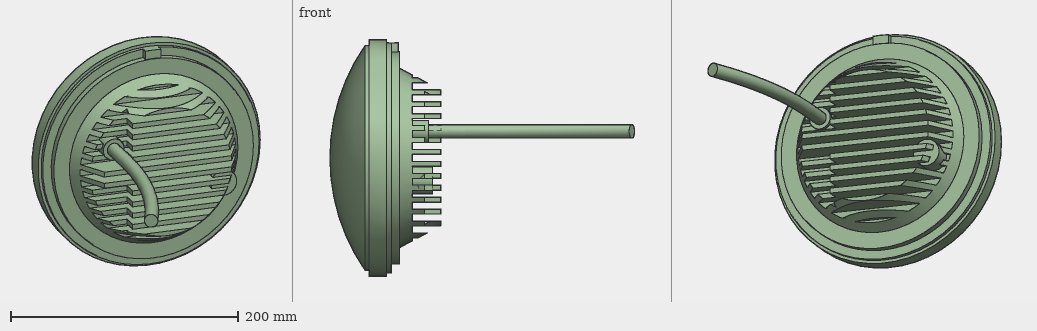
import cadquery as cq
import math


LENS_HEIGHT = 31.0
LENS_EDGE_RADIUS = 98.9
LENS_SPHERE_RADIUS = (LENS_EDGE_RADIUS**2 + LENS_HEIGHT**2) / (2 * LENS_HEIGHT)

RIM_RADIUS = 208.32 / 2
RIM_FRONT_X = 34.5
RIM_BACK_X = 50.0
COLLAR_RADIUS = 101.4
COLLAR_BACK_X = 54.2
BACK_RING_RADIUS = 93.5
BACK_RING_BACK_X = 61.3

SINK_FRONT_RADIUS = 79.0
SINK_BACK_RADIUS = 59.7
SINK_BACK_X = 97.6
FIN_ROOT_X = 72.5
FIN_COUNT = 14
FIN_PITCH = 10.5
FIN_THICKNESS = 4.5
SLOT_WIDTH = FIN_PITCH - FIN_THICKNESS
CLEARANCE = 10.0

FIN_STEP_X = 83.4
FIN_STEP_Y = -33.2

TAB_WIDTH = 14.6
TAB_BOTTOM_Z = 90.0
TAB_BACK_X = 60.4

PLUG_RADIUS = 12.0
PLUG_Y = 55.0
PLUG_Z = -19.6
PLUG_BACK_X = 90.5

CABLE_Y = -46.9
CABLE_Z = 23.3
CABLE_RADIUS = 6.0
CABLE_BEND_X = 119.0
CABLE_BEND_RADIUS = 360.0
OVERALL_LENGTH = 268.08
GLAND_RADIUS = 9.8
GLAND_BACK_X = 86.9

BURY = 2.0


def rod(start_x, end_x, y, z, radius):
    """Cylinder parallel to X."""
    return cq.Workplane("YZ", origin=(start_x, y, z)).circle(radius).extrude(end_x - start_x)


def block(x_range, y_range, z_range):
    """Axis-aligned box given by its limits."""
    size = [high - low for low, high in (x_range, y_range, z_range)]
    corner = (x_range[0], y_range[0], z_range[0])
    return cq.Workplane("XY", origin=corner).box(*size, centered=False)


def make_body():
    """Lens, rim, collars and solid heat sink cone, turned about X."""
    half_angle = math.asin(LENS_EDGE_RADIUS / LENS_SPHERE_RADIUS) / 2
    lens_middle = (
        LENS_SPHERE_RADIUS * (1 - math.cos(half_angle)),
        LENS_SPHERE_RADIUS * math.sin(half_angle),
    )
    lens_edge = (LENS_HEIGHT, LENS_EDGE_RADIUS)
    stepped_edge = [
        (RIM_FRONT_X, LENS_EDGE_RADIUS),
        (RIM_FRONT_X, RIM_RADIUS),
        (RIM_BACK_X, RIM_RADIUS),
        (RIM_BACK_X, COLLAR_RADIUS),
        (COLLAR_BACK_X, COLLAR_RADIUS),
        (COLLAR_BACK_X, BACK_RING_RADIUS),
        (BACK_RING_BACK_X, BACK_RING_RADIUS),
        (BACK_RING_BACK_X, SINK_FRONT_RADIUS),
        (SINK_BACK_X, SINK_BACK_RADIUS),
        (SINK_BACK_X, 0),
    ]
    profile = cq.Workplane("XY").moveTo(0, 0).threePointArc(lens_middle, lens_edge)
    for point in stepped_edge:
        profile = profile.lineTo(*point)
    return profile.close().revolve(360, (0, 0, 0), (1, 0, 0))


def cut_fin_slots(body):
    """Saw parallel slots along Y, with one on each side of every fin."""
    reach = RIM_RADIUS
    for index in range(FIN_COUNT + 1):
        center_z = (index - FIN_COUNT / 2) * FIN_PITCH
        slot_z = (center_z - SLOT_WIDTH / 2, center_z + SLOT_WIDTH / 2)
        body = body.cut(block((FIN_ROOT_X, SINK_BACK_X + CLEARANCE), (-reach, reach), slot_z))
    return body


def cut_fin_step(body):
    """Shorten the fins above and below the middle pair on the -Y side."""
    step_x = (FIN_STEP_X, SINK_BACK_X + CLEARANCE)
    step_y = (-RIM_RADIUS, FIN_STEP_Y)
    body = body.cut(block(step_x, step_y, (FIN_PITCH, RIM_RADIUS)))
    return body.cut(block(step_x, step_y, (-RIM_RADIUS, -FIN_PITCH)))


def make_tab():
    """Locating tab that continues the collar surface backward at the top."""
    half_width = TAB_WIDTH / 2
    tab_x = (RIM_BACK_X, TAB_BACK_X)
    tab_block = block(tab_x, (-half_width, half_width), (TAB_BOTTOM_Z, RIM_RADIUS))
    return tab_block.intersect(rod(*tab_x, 0, 0, COLLAR_RADIUS))


def make_cable():
    """Gland, straight lead and the cable bending toward -Y."""
    gland = rod(FIN_ROOT_X - BURY, GLAND_BACK_X, CABLE_Y, CABLE_Z, GLAND_RADIUS)
    lead = rod(FIN_ROOT_X, CABLE_BEND_X, CABLE_Y, CABLE_Z, CABLE_RADIUS)
    bend_run = OVERALL_LENGTH - CABLE_BEND_X
    bend_angle = math.degrees(math.asin(bend_run / (CABLE_BEND_RADIUS + CABLE_RADIUS)))
    bend = (
        cq.Workplane("YZ", origin=(CABLE_BEND_X, CABLE_Y, CABLE_Z))
        .circle(CABLE_RADIUS)
        .revolve(bend_angle, (-CABLE_BEND_RADIUS, 1, 0), (-CABLE_BEND_RADIUS, 0, 0))
    )
    return gland.union(lead).union(bend)


body = cut_fin_step(cut_fin_slots(make_body()))
plug = rod(FIN_ROOT_X - BURY, PLUG_BACK_X, PLUG_Y, PLUG_Z, PLUG_RADIUS)
result = body.union(make_tab()).union(plug).union(make_cable())